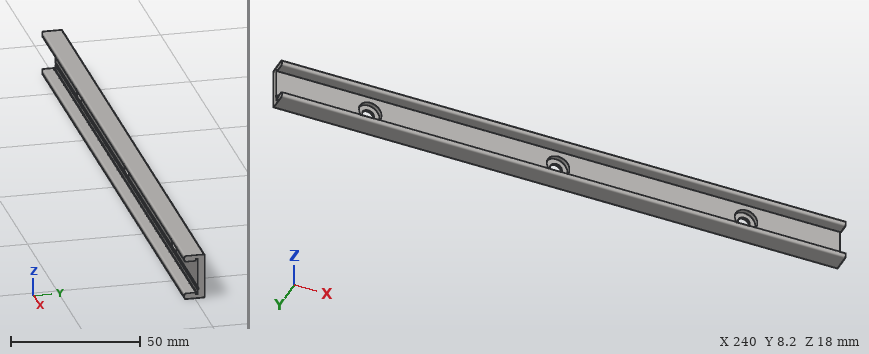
import cadquery as cq

length = 240
depth = 8.2
height = 18.0
web_thickness = 3.0
flange_thickness = 2.5
tip_radius = 0.7
back_radius = 0.7

relief_width = 0.7
relief_depth = 0.7

groove_width = 1.0
groove_depth = 0.5
groove_center_z = -5.0

hole_count = 3
hole_pitch = length / hole_count
hole_diameter = 5.0
counterbore_diameter = 9.5
counterbore_depth = 2.0

web_face_y = depth / 2 - web_thickness


def make_channel():
    """C-shaped rail with rounded flange tips and back corners."""
    inner_height = height - 2 * flange_thickness
    channel_depth = depth - web_thickness
    cavity = (
        cq.Workplane("XY")
        .box(length, channel_depth, inner_height)
        .translate((0, web_face_y - channel_depth / 2, 0))
    )
    channel = cq.Workplane("XY").box(length, depth, height).cut(cavity)
    channel = channel.faces("<Y").edges("|X").fillet(tip_radius)
    return channel.faces(">Y").edges("|X").fillet(back_radius)


def make_corner_reliefs():
    """Cutter for the undercuts where both flanges meet the web."""
    relief_span = height - 2 * (flange_thickness - relief_depth)
    return (
        cq.Workplane("XY")
        .box(length, relief_width, relief_span)
        .translate((0, web_face_y - relief_width / 2, 0))
    )


def make_groove():
    """V-shaped groove cutter with its mouth on the inner web face."""
    return (
        cq.Workplane("YZ")
        .polyline([
            (web_face_y, groove_center_z - groove_width / 2),
            (web_face_y + groove_depth, groove_center_z),
            (web_face_y, groove_center_z + groove_width / 2),
        ])
        .close()
        .extrude(length / 2, both=True)
    )


def cut_mounting_holes(body):
    """Row of holes through the web, counterbored from the open side."""
    return (
        body.copyWorkplane(cq.Workplane("XZ", origin=(0, web_face_y, 0)))
        .rarray(hole_pitch, 2.5, hole_count, 1)
        .cboreHole(hole_diameter, counterbore_diameter, counterbore_depth)
    )


channel_rail = make_channel().cut(make_corner_reliefs()).cut(make_groove())
result = cut_mounting_holes(channel_rail)